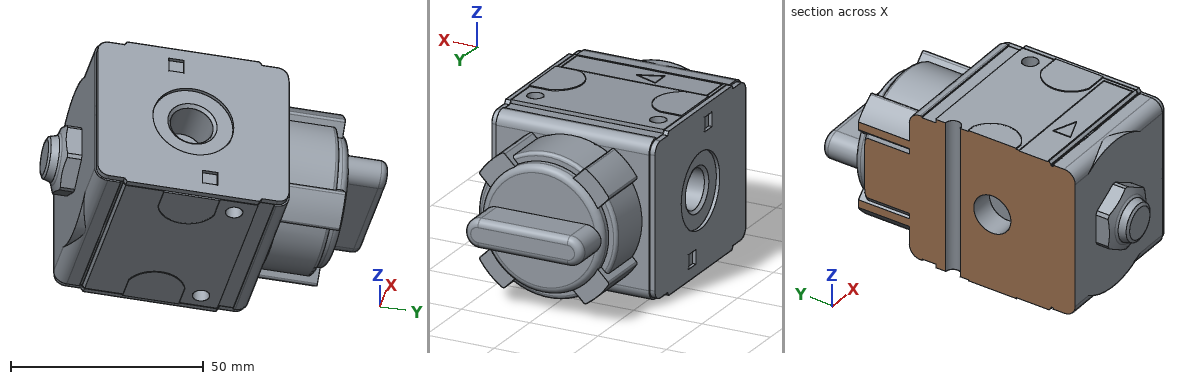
import math

import cadquery as cq


body_width = 47.8
body_depth = 52.0
shoulder_height = 45.0
panel_height = 46.4
overall_height = 47.0
corner_radius = 3.5
panel_half_depth = 17.7
panel_slope = 0.7
plate_thickness = 1.5
plate_inset = 0.5
plate_panel_inset = 0.2
groove_depth = 0.4
back_groove_end = 22.0
front_groove_end = 19.0
front_disc_radius = 22.45

pad_half_depth = 7.5
pad_radius = 8.0
pad_reach = 10.7
hole_diameter = 4.5
hole_offset_x = 18.0
hole_offset_y = 12.35
label_width = 42.7
label_depth = 9.0
label_center_y = -12.9
engraving = 0.2
arrow_tail_x = -5.2
arrow_tip_x = 1.7
arrow_half_width = 2.7
arrow_center_y = -13.1

port_recess_diameter = 21.6
port_recess_depth = 1.0
port_thread_diameter = 13.16
port_bore_diameter = 11.45
port_depth = 12.0
socket_size = 4.1
socket_depth = 1.0
socket_offset_y = 4.5
socket_offset_z = 17.65

drum_radius = 20.35
drum_length = 14.0
drum_rounding = 1.0
lobe_radius = 22.5
lobe_width = 10.15
lobe_length = 15.9
lobe_rounding = 0.7
cap_radius = 17.9
cap_length = 17.4
cap_rounding = 2.0
grip_width = 34.4
grip_thickness = 8.2
grip_rounding = 2.0
knob_length = 28.0

hex_across_flats = 17.0
hex_turned_diameter = 19.0
hex_length = 3.8
plug_length = 8.0
plug_flare_radius = 6.9
plug_flare_end = 4.9
plug_neck_radius = 6.2
plug_neck_start = 5.4
plug_end_radius = 5.6
plug_chamfer_start = 7.5
plug_tip_radius = 4.7

core_half_width = body_width / 2 - plate_thickness
back = body_depth / 2
front = -body_depth / 2
panel_top = panel_height / 2
shoulder_top = shoulder_height / 2
panel_foot = panel_half_depth + panel_slope
lobe_end = back + lobe_length
cap_top = back + cap_length


def box_between(x_range, y_range, z_range):
    """Box spanning the given (low, high) pairs."""
    (x0, x1), (y0, y1), (z0, z1) = x_range, y_range, z_range
    return cq.Workplane("XY").box(x1 - x0, y1 - y0, z1 - z0, centered=False).translate((x0, y0, z0))


def cylinder_y(radius, start, end):
    """Cylinder on the Y axis from start to end."""
    return cq.Workplane("XZ", origin=(0, start, 0)).circle(radius).extrude(start - end)


def with_mirror(solid, plane):
    """The solid together with its mirror image."""
    return solid.union(solid.mirror(plane))


def body_slab(half_width, inset, panel_inset):
    """Rounded block with sloped middle panels above and below, shrunk by the insets."""
    depth = body_depth - 2 * inset
    height = shoulder_height - 2 * inset
    block = cq.Workplane("YZ").rect(depth, height).extrude(half_width, both=True)
    block = block.edges("|X").fillet(corner_radius - inset)
    top = panel_top - panel_inset
    panel = (
        cq.Workplane("YZ")
        .polyline(
            [
                (-panel_foot, -shoulder_top + inset),
                (-panel_half_depth, -top),
                (panel_half_depth, -top),
                (panel_foot, -shoulder_top + inset),
                (panel_foot, shoulder_top - inset),
                (panel_half_depth, top),
                (-panel_half_depth, top),
                (-panel_foot, shoulder_top - inset),
            ]
        )
        .close()
        .extrude(half_width, both=True)
    )
    return block.union(panel)


def shoulder_grooves():
    """Shallow grooves across the core, along the front and back borders of the panels."""
    x_range = (-core_half_width, core_half_width)
    z_range = (shoulder_top - groove_depth, overall_height / 2)
    back_groove = box_between(x_range, (panel_half_depth, back_groove_end), z_range)
    front_groove = box_between(x_range, (-front_groove_end, -panel_foot), z_range)
    return with_mirror(back_groove.union(front_groove), "XY")


def round_pad():
    """Thin pad on the top panel: straight sides from the core end, with an arc for its tip."""
    chord_x = pad_reach + pad_radius - math.sqrt(pad_radius**2 - pad_half_depth**2)
    return (
        cq.Workplane("XY", origin=(0, 0, shoulder_top))
        .moveTo(core_half_width, -pad_half_depth)
        .lineTo(chord_x, -pad_half_depth)
        .threePointArc((pad_reach, 0), (chord_x, pad_half_depth))
        .lineTo(core_half_width, pad_half_depth)
        .close()
        .extrude(overall_height / 2 - shoulder_top)
    )


def mounting_holes():
    """Two holes through the full height."""
    return (
        cq.Workplane("XY")
        .pushPoints([(-hole_offset_x, hole_offset_y), (hole_offset_x, hole_offset_y)])
        .circle(hole_diameter / 2)
        .extrude(overall_height, both=True)
    )


def label_recess():
    """Sunk label field on the top panel with a flow arrow sunk further into it."""
    floor = panel_top - engraving
    field = (
        cq.Workplane("XY", origin=(0, label_center_y, floor))
        .rect(label_width, label_depth)
        .extrude(engraving)
    )
    arrow = (
        cq.Workplane("XY", origin=(0, arrow_center_y, floor - engraving))
        .polyline(
            [
                (arrow_tail_x, -arrow_half_width),
                (arrow_tip_x, 0),
                (arrow_tail_x, arrow_half_width),
            ]
        )
        .close()
        .extrude(2 * engraving)
    )
    return field.union(arrow)


def end_face_cut():
    """Port and two square sockets in the -X end face."""
    face = cq.Workplane("YZ", origin=(-body_width / 2, 0, 0))
    recess = face.circle(port_recess_diameter / 2).extrude(port_recess_depth)
    recess_floor = -body_width / 2 + port_recess_depth
    bore_radius = port_bore_diameter / 2
    thread_radius = port_thread_diameter / 2
    port = (
        cq.Workplane("XY")
        .polyline(
            [
                (recess_floor, 0),
                (recess_floor, thread_radius),
                (recess_floor + thread_radius - bore_radius, bore_radius),
                (recess_floor + port_depth, bore_radius),
                (recess_floor + port_depth, 0),
            ]
        )
        .close()
        .revolve(360, (0, 0, 0), (1, 0, 0))
    )
    sockets = (
        face.pushPoints([(-socket_offset_y, socket_offset_z), (socket_offset_y, -socket_offset_z)])
        .rect(socket_size, socket_size)
        .extrude(socket_depth)
    )
    return recess.union(port).union(sockets)


def valve_body():
    body = body_slab(core_half_width, 0, 0)
    body = body.union(body_slab(body_width / 2, plate_inset, plate_panel_inset))
    body = body.cut(shoulder_grooves())
    body = body.union(cylinder_y(front_disc_radius, front, 0))
    pads = with_mirror(with_mirror(round_pad(), "YZ"), "XY")
    body = body.union(pads).cut(label_recess()).cut(mounting_holes())
    return body.cut(with_mirror(end_face_cut(), "YZ"))


def knob_lobe():
    """Parallel-sided lobe pointing along +X, with a round outer face and rounded corners."""
    bar = box_between((0, lobe_radius), (back, lobe_end), (-lobe_width / 2, lobe_width / 2))
    lobe = bar.intersect(cylinder_y(lobe_radius, back, lobe_end))
    corner_x = math.sqrt(lobe_radius**2 - (lobe_width / 2) ** 2)
    for corner_z in (-lobe_width / 2, lobe_width / 2):
        corner = cq.selectors.NearestToPointSelector((corner_x, (back + lobe_end) / 2, corner_z))
        lobe = lobe.edges(corner).fillet(lobe_rounding)
    return lobe


def knob_grip():
    """Flat bar with round ends for turning the knob."""
    length = back + knob_length - lobe_end
    grip = (
        cq.Workplane("XZ", origin=(0, lobe_end, 0))
        .slot2D(grip_width, grip_thickness)
        .extrude(-length)
    )
    return grip.faces(">Y").edges().fillet(grip_rounding)


def knob():
    drum = cylinder_y(drum_radius, back, back + drum_length)
    shape = drum.faces(">Y").edges().fillet(drum_rounding)
    cap = cylinder_y(cap_radius, back, cap_top)
    shape = shape.union(cap.faces(">Y").edges().fillet(cap_rounding))
    for diagonal_angle in (45, 135, 225, 315):
        shape = shape.union(knob_lobe().rotate((0, 0, 0), (0, 1, 0), diagonal_angle))
    return shape.union(knob_grip())


def hexagon_plug():
    """Turned plug whose wide part is trimmed to a hexagon with corners pointing up and down."""
    turned = (
        cq.Workplane("XY")
        .polyline(
            [
                (0, front),
                (hex_turned_diameter / 2, front),
                (hex_turned_diameter / 2, front - hex_length),
                (plug_flare_radius, front - plug_flare_end),
                (plug_neck_radius, front - plug_neck_start),
                (plug_end_radius, front - plug_chamfer_start),
                (plug_tip_radius, front - plug_length),
                (0, front - plug_length),
            ]
        )
        .close()
        .revolve(360, (0, 0, 0), (0, 1, 0))
    )
    hexagon = (
        cq.Workplane("XZ", origin=(0, front, 0))
        .polygon(6, hex_across_flats, circumscribed=True)
        .extrude(plug_length)
    )
    return turned.intersect(hexagon)


result = valve_body().union(knob()).union(hexagon_plug())